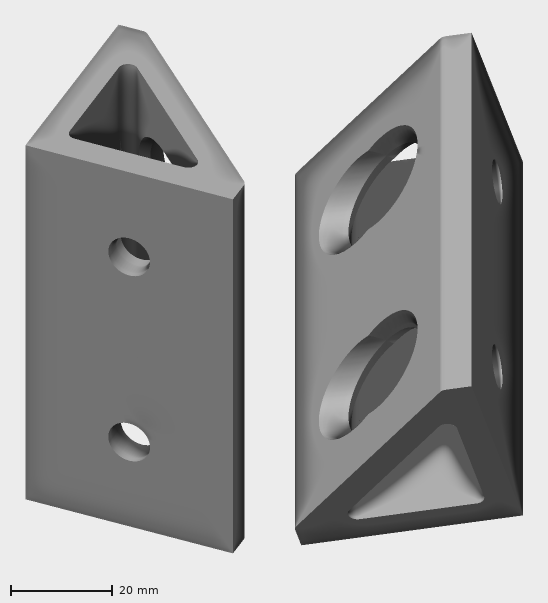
import cadquery as cq
import math

height = 86.0
leg = 45.0
end_land = 6.0
wall = 6.0
corner_radius = 2.0
hole_diameter = 9.0
access_diameter = 20.0
hole_spacing = 45.0
lower_hole_height = 20.5

slope_sum = leg + end_land
cavity_slope_sum = slope_sum - wall * math.sqrt(2)
cavity_tip = cavity_slope_sum - wall


def make_body():
    """Triangular prism with blunt tips, rounded where the slope begins."""
    outline = [(0, 0), (leg, 0), (leg, end_land), (end_land, leg), (0, leg)]
    body = cq.Workplane("XY").polyline(outline).close().extrude(height)
    slope_edges = cq.selectors.BoxSelector(
        (leg - wall / 2, end_land / 2, 0), (leg + wall / 2, end_land * 2, height)
    ) + cq.selectors.BoxSelector(
        (end_land / 2, leg - wall / 2, 0), (end_land * 2, leg + wall / 2, height)
    )
    return body.edges("|Z").edges(slope_edges).fillet(corner_radius)


def make_cavity():
    """Rounded triangular opening running the full height."""
    corners = [(wall, wall), (cavity_tip, wall), (wall, cavity_tip)]
    cavity = cq.Workplane("XY").polyline(corners).close().extrude(height)
    return cavity.edges("|Z").fillet(corner_radius)


def make_bolt_passage(face_center, inward):
    """Bolt hole in a mounting face with a wider access bore out through the sloped wall."""
    start = cq.Vector(*face_center)
    axis = cq.Vector(*inward)
    bolt_hole = cq.Solid.makeCylinder(hole_diameter / 2, leg, start, axis)
    access_bore = cq.Solid.makeCylinder(access_diameter / 2, leg, start + axis * wall, axis)
    return cq.Workplane(bolt_hole).union(cq.Workplane(access_bore))


result = make_body().cut(make_cavity())
for hole_height in (lower_hole_height, lower_hole_height + hole_spacing):
    result = result.cut(make_bolt_passage((leg / 2, 0, hole_height), (0, 1, 0)))
    result = result.cut(make_bolt_passage((0, leg / 2, hole_height), (1, 0, 0)))